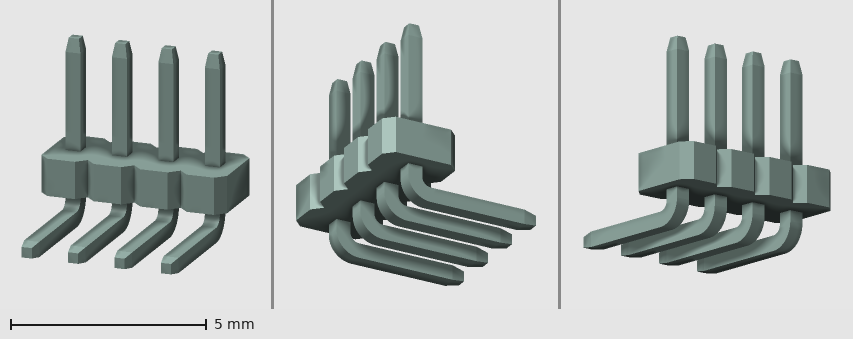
import cadquery as cq

pin_count = 4
pitch = 1.27

housing_depth = 2.13
housing_height = 1.0
corner_chamfer = 0.26

pin_width = 0.41
pin_rise = 3.0
pin_drop = 0.95
pin_reach = 3.555
bend_inner_radius = 0.25
tip_length = 0.37
tip_width = 0.28

half_pin = pin_width / 2
bend_radius = bend_inner_radius + half_pin
pin_top = housing_height + pin_rise
leg_axis_z = half_pin - pin_drop


def make_housing(x):
    """One housing segment with a square hole for its pin."""
    block = (
        cq.Workplane("XY")
        .center(x, 0)
        .rect(pitch, housing_depth)
        .extrude(housing_height)
        .edges("|Z")
        .chamfer(corner_chamfer)
    )
    hole = cq.Workplane("XY").center(x, 0).rect(pin_width, pin_width).extrude(housing_height)
    return block.cut(hole)


def make_tip(base_plane):
    """A tapered square tip standing on the given plane."""
    return (
        cq.Workplane(base_plane)
        .rect(pin_width, pin_width)
        .workplane(offset=tip_length)
        .rect(tip_width, tip_width)
        .loft(ruled=True)
    )


def make_pin(x):
    """One bent pin with a tapered tip at each end."""
    upper_tip_base = pin_top - tip_length
    lower_tip_base = tip_length - pin_reach
    bend_y = -bend_radius
    bend_z = leg_axis_z + bend_radius
    bend_outer_radius = bend_radius + half_pin
    shank = (
        cq.Workplane("YZ", origin=(x, 0, 0))
        .moveTo(half_pin, upper_tip_base)
        .lineTo(half_pin, bend_z)
        .radiusArc((bend_y, leg_axis_z - half_pin), bend_outer_radius)
        .lineTo(lower_tip_base, leg_axis_z - half_pin)
        .lineTo(lower_tip_base, leg_axis_z + half_pin)
        .lineTo(bend_y, leg_axis_z + half_pin)
        .radiusArc((-half_pin, bend_z), -bend_inner_radius)
        .lineTo(-half_pin, upper_tip_base)
        .close()
        .extrude(half_pin, both=True)
    )
    upper_tip = make_tip(cq.Plane(origin=(x, 0, upper_tip_base), xDir=(1, 0, 0), normal=(0, 0, 1)))
    lower_tip = make_tip(
        cq.Plane(origin=(x, lower_tip_base, leg_axis_z), xDir=(1, 0, 0), normal=(0, -1, 0))
    )
    return shank.union(upper_tip).union(lower_tip)


row_positions = [(i - (pin_count - 1) / 2) * pitch for i in range(pin_count)]
housings = [make_housing(x) for x in row_positions]
pins = [make_pin(x) for x in row_positions]

result = cq.Compound.makeCompound([body.val() for body in housings + pins])